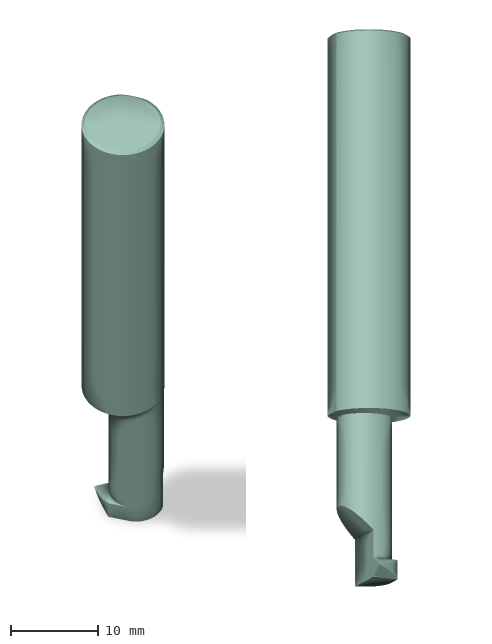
import cadquery as cq
import math

total_length = 63.5
overlap = 0.65

shank_radius = 4.75
flat_offset = 4.5
chamfer_width = 0.45
chamfer_height = 0.25

neck_radius = 3.2
neck_length = 19.1
neck_x = shank_radius - neck_radius

relief_height = 5.45

head_height = 2.3
heel_x = -0.9
tip_x = -3.4
flank_middle = (-2.3, -1.7)


def make_shank():
    shank = (
        cq.Workplane("XY")
        .workplane(offset=neck_length)
        .circle(shank_radius)
        .extrude(total_length - neck_length)
        .faces(">Z")
        .chamfer(chamfer_height, chamfer_width)
    )
    beyond_flat = (
        cq.Workplane("XY")
        .box(2 * shank_radius, shank_radius, total_length, centered=(True, False, False))
        .translate((0, flat_offset, 0))
    )
    return shank.cut(beyond_flat)


def make_neck():
    neck = (
        cq.Workplane("XY")
        .center(neck_x, 0)
        .circle(neck_radius)
        .extrude(neck_length + overlap)
    )
    relief_depth = neck_radius + overlap
    relief = (
        cq.Workplane("YZ")
        .polyline([
            (0, 0),
            (relief_depth, 0),
            (relief_depth, relief_height + relief_depth),
            (0, relief_height),
        ])
        .close()
        .extrude(2 * shank_radius, both=True)
    )
    return neck.cut(relief)


def make_head():
    outline = (
        cq.Workplane("XY")
        .moveTo(tip_x, 0)
        .threePointArc(flank_middle, (heel_x, -neck_radius))
        .lineTo(neck_x, -neck_radius)
        .lineTo(neck_x, 0)
        .close()
        .extrude(head_height)
    )
    root_x = neck_x - neck_radius
    facet_angle = math.atan2(heel_x - root_x, neck_radius)
    point_reach = (root_x - tip_x) * math.cos(facet_angle)
    wedge = (
        cq.Workplane("XZ")
        .polyline([
            (-point_reach, head_height / 2),
            (0, head_height),
            (2 * neck_radius, head_height),
            (2 * neck_radius, 0),
            (0, 0),
        ])
        .close()
        .extrude(2 * neck_radius, both=True)
        .rotate((0, 0, 0), (0, 0, 1), math.degrees(facet_angle))
        .translate((root_x, 0, 0))
    )
    return outline.intersect(wedge)


result = make_shank().union(make_neck()).union(make_head())